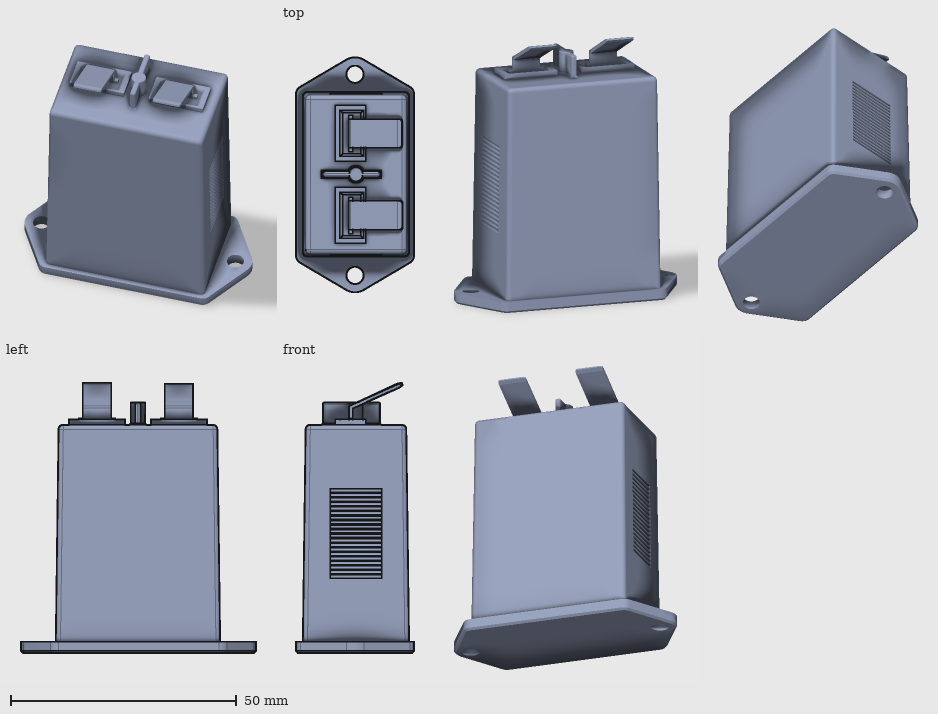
import cadquery as cq
import math

overall_height = 59.85

flange_width = 26.2
flange_length = 52.1
flange_thickness = 2.5
flange_chamfer = 0.5
hole_diameter = 3.8
hole_offset = 22.25
tip_radius = flange_length / 2 - hole_offset
tip_slope = 30.5
corner_radius = 2.05

housing_x = 0.21
housing_y = 0.1
housing_width = 23.6
housing_length = 36.45
housing_top = 50.5
draft_angle = 0.75
housing_round = 1.0

louvre_count = 20
louvre_pitch = 1.0
louvre_width = 11.4
louvre_bottom = 16.6
louvre_depth = 0.5
louvre_gap = 0.25

divider_top = 55.5
rib_x = -0.8
rib_length = 12.7
rib_thickness = 1.25
rib_round = 0.4
pin_diameter = 3.25
pin_round = 0.25
foot_slope = 45
foot_chamfer = 0.3

terminal_spacing = 18.15
collar_x = -0.99
collar_width = 6.8
collar_length = 12.45
collar_height = 1.2
recess_x = -0.7
recess_width = 5.2
recess_length = 10.25
recess_depth = 0.6
recess_inset = 0.6

blade_x = -1.4
blade_thickness = 0.85
blade_width = 6.35
base_width = 8.1
base_rise = 0.25
bend_round = 0.5
blade_reach = 12.8
tip_bevel_length = 1.0
tip_bevel_depth = 0.25
tip_corner_radius = 0.55
bend_tilts = {-1: 24.0, 1: 25.0}

sides = (-1, 1)
collar_top = housing_top + collar_height

steepest_tilt = math.radians(max(bend_tilts.values()))
bend_height = (
    overall_height
    - blade_reach * math.sin(steepest_tilt)
    + tip_bevel_depth * math.cos(steepest_tilt)
)


def make_flange():
    slope = math.radians(tip_slope)
    half_width = flange_width / 2
    corner_y = hole_offset + (tip_radius - half_width * math.sin(slope)) / math.cos(slope)
    apex_y = hole_offset + tip_radius / math.cos(slope)
    outline = [
        (half_width, -corner_y),
        (half_width, corner_y),
        (0, apex_y),
        (-half_width, corner_y),
        (-half_width, -corner_y),
        (0, -apex_y),
    ]
    plate = cq.Workplane("XY").polyline(outline).close().extrude(flange_thickness)
    plate = plate.edges("|Z").edges(">Y or <Y").fillet(tip_radius)
    plate = plate.edges("|Z").edges(">X or <X").fillet(corner_radius)
    plate = plate.faces("<Z").edges().chamfer(flange_chamfer)
    holes = (
        cq.Workplane("XY")
        .pushPoints([(0, -hole_offset), (0, hole_offset)])
        .circle(hole_diameter / 2)
        .extrude(flange_thickness)
    )
    return plate.cut(holes)


def make_box():
    box = (
        cq.Workplane("XY", origin=(housing_x, housing_y, flange_thickness))
        .rect(housing_width, housing_length)
        .extrude(housing_top - flange_thickness, taper=draft_angle)
    )
    return box.faces("not <Z").edges("not <Z").fillet(housing_round)


def make_louvres():
    """Saw-tooth grooves in both narrow faces, each with a floor that slopes down and outwards."""
    draft = math.tan(math.radians(draft_angle))
    grooves = []
    for side in sides:
        for index in range(louvre_count):
            bottom = louvre_bottom + index * louvre_pitch
            top = bottom + louvre_pitch - louvre_gap
            face_bottom = housing_length / 2 - (bottom - flange_thickness) * draft
            face_top = housing_length / 2 - (top - flange_thickness) * draft
            outline = [
                (side * face_bottom, bottom),
                (side * (face_top - louvre_depth), top),
                (side * face_top, top),
            ]
            grooves.append(
                cq.Workplane("YZ", origin=(housing_x - louvre_width / 2, housing_y, 0))
                .polyline(outline)
                .close()
                .extrude(louvre_width)
            )
    return grooves


def make_divider():
    height = divider_top - housing_top
    rib = (
        cq.Workplane("XY", origin=(rib_x, housing_y, housing_top))
        .box(rib_length, rib_thickness, height, centered=(True, True, False))
        .edges("|Z or >Z")
        .fillet(rib_round)
    )
    pin = (
        cq.Workplane("XY", origin=(housing_x, housing_y, housing_top))
        .circle(pin_diameter / 2)
        .extrude(height)
        .faces(">Z")
        .edges()
        .fillet(pin_round)
    )
    rib_foot = (
        cq.Workplane("XY", origin=(rib_x, housing_y, housing_top))
        .rect(rib_length + 2 * foot_chamfer, rib_thickness + 2 * foot_chamfer)
        .extrude(foot_chamfer, taper=foot_slope)
    )
    pin_foot = (
        cq.Workplane("XY", origin=(housing_x, housing_y, housing_top))
        .circle(pin_diameter / 2 + foot_chamfer)
        .extrude(foot_chamfer, taper=foot_slope)
    )
    return rib.union(pin).union(rib_foot).union(pin_foot)


def make_housing():
    body = make_flange().union(make_box())
    for groove in make_louvres():
        body = body.cut(groove)
    return body.union(make_divider())


def make_terminal(side):
    tilt = math.radians(bend_tilts[side])
    y = housing_y + side * terminal_spacing / 2
    along = (math.cos(tilt), math.sin(tilt))
    under = (math.sin(tilt), -math.cos(tilt))

    def blade_point(distance, depth):
        """Point at a distance along the bent blade and a depth below its upper face."""
        return (
            blade_x + distance * along[0] + depth * under[0],
            bend_height + distance * along[1] + depth * under[1],
        )

    inner_distance = blade_thickness * (1 - math.sin(tilt)) / math.cos(tilt)
    base_top = collar_top + base_rise
    profile = [
        (blade_x, base_top),
        (blade_x, bend_height),
        blade_point(blade_reach - tip_bevel_length, 0),
        blade_point(blade_reach, tip_bevel_depth),
        blade_point(blade_reach, blade_thickness - tip_bevel_depth),
        blade_point(blade_reach - tip_bevel_length, blade_thickness),
        blade_point(inner_distance, blade_thickness),
        (blade_x + blade_thickness, base_top),
    ]
    blade = (
        cq.Workplane("XZ", origin=(0, y + blade_width / 2, 0))
        .polyline(profile)
        .close()
        .extrude(blade_width)
    )
    blade = blade.edges(cq.selectors.NearestToPointSelector((blade_x, y, bend_height))).fillet(bend_round)
    blade = blade.faces(">X").edges("not |Y").fillet(tip_corner_radius)
    return blade.union(make_base(y, base_top))


def make_base(y, top):
    """Wide foot of a terminal, standing on the housing; it also shapes the collar slot."""
    return cq.Workplane("XY", origin=(blade_x, y - base_width / 2, housing_top)).box(
        blade_thickness, base_width, top - housing_top, centered=False
    )


def make_collar(side):
    y = housing_y + side * terminal_spacing / 2
    collar = cq.Workplane("XY", origin=(collar_x, y, housing_top)).box(
        collar_width, collar_length, collar_height, centered=(True, True, False)
    )
    recess = (
        cq.Workplane("XY", origin=(recess_x, y, collar_top))
        .rect(recess_width, recess_length)
        .workplane(offset=-recess_depth)
        .rect(recess_width - 2 * recess_inset, recess_length - 2 * recess_inset)
        .loft(ruled=True)
    )
    return collar.cut(recess).cut(make_base(y, collar_top))


housing = make_housing()
collars = [make_collar(side).val() for side in sides]
terminals = [make_terminal(side).val() for side in sides]
result = cq.Compound.makeCompound([housing.val(), *collars, *terminals])